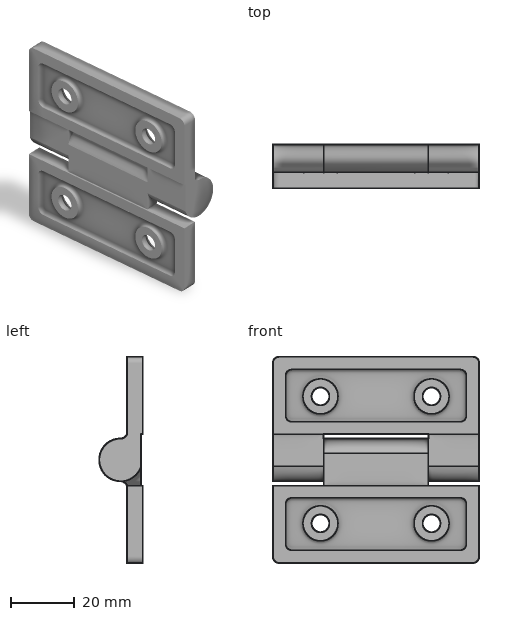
import cadquery as cq
import math

hinge_width = 65.0
hinge_height = 65.0

knuckle_radius = 6.75
middle_knuckle_length = 33.0
side_knuckle_length = (hinge_width - middle_knuckle_length) / 2

leaf_thickness = 5.0
leaf_inner_edge = 8.1
leaf_outer_edge = hinge_height / 2
leaf_corner_radius = 2.0
overall_depth = 13.8
leaf_front = knuckle_radius - overall_depth
leaf_back = leaf_front + leaf_thickness
knuckle_setback = 0.6
knuckle_front = leaf_front + knuckle_setback

recess_margin = 4.0
recess_width = hinge_width - 2 * recess_margin
recess_height = 16.5
recess_top = leaf_outer_edge - recess_margin
recess_center_z = recess_top - recess_height / 2
recess_depth = 1.5
recess_corner_radius = 2.0
floor_fillet = 1.0

boss_radius = 5.5
screw_hole_diameter = 5.5
screw_hole_radius = screw_hole_diameter / 2
head_radius = 5.3
counterbore_depth = 0.5
countersink_half_angle = math.radians(45)
screw_spacing_x = 35.0
screw_spacing_z = 40.0


def make_plate():
    """Flat plate with its two outer corners rounded."""
    plate = cq.Workplane("XY").box(
        hinge_width,
        leaf_thickness,
        leaf_outer_edge - leaf_inner_edge,
        centered=(True, False, False),
    )
    plate = plate.translate((0, leaf_front, leaf_inner_edge))
    return plate.edges("|Y and >Z").fillet(leaf_corner_radius)


def make_recess():
    """Rounded pocket to remove: two bosses are left standing, with a fillet all round its floor."""
    floor_y = leaf_front + recess_depth
    recess = (
        cq.Workplane("XZ", origin=(0, floor_y, recess_center_z))
        .rect(recess_width, recess_height)
        .extrude(recess_depth)
        .edges("|Y")
        .fillet(recess_corner_radius)
    )
    bosses = (
        cq.Workplane("XZ", origin=(0, floor_y, screw_spacing_z / 2))
        .rarray(screw_spacing_x, 0.65, 2, 1)
        .circle(boss_radius)
        .extrude(recess_depth)
    )
    return recess.cut(bosses).faces(">Y").edges().fillet(floor_fillet)


def make_screw_hole(center_x):
    """Through hole widening behind to a cone, then to a short straight counterbore at the leaf back."""
    head_seat_y = leaf_back - counterbore_depth
    cone_start_y = head_seat_y - (head_radius - screw_hole_radius) / math.tan(countersink_half_angle)
    return (
        cq.Workplane("XY")
        .moveTo(0, leaf_front)
        .lineTo(screw_hole_radius, leaf_front)
        .lineTo(screw_hole_radius, cone_start_y)
        .lineTo(head_radius, head_seat_y)
        .lineTo(head_radius, leaf_back)
        .lineTo(0, leaf_back)
        .close()
        .revolve(360, (0, 0, 0), (0, 1, 0))
        .translate((center_x, 0, screw_spacing_z / 2))
    )


def make_knuckle(length, center_x):
    """Knuckle with a flat front, its back blended into the leaf by a concave arc."""
    flat_end_z = -math.sqrt(knuckle_radius**2 - knuckle_front**2)
    return (
        cq.Workplane("YZ", origin=(center_x - length / 2, 0, 0))
        .moveTo(leaf_back, leaf_inner_edge)
        .lineTo(knuckle_front, leaf_inner_edge)
        .lineTo(knuckle_front, flat_end_z)
        .threePointArc((knuckle_radius, 0), (0, knuckle_radius))
        .tangentArcPoint((leaf_back, leaf_inner_edge), relative=False)
        .close()
        .extrude(length)
    )


def make_leaf(knuckle_length, knuckle_centers):
    """One leaf lying above the hinge axis, as a single solid."""
    leaf = make_plate().cut(make_recess())
    for center_x in (-screw_spacing_x / 2, screw_spacing_x / 2):
        leaf = leaf.cut(make_screw_hole(center_x))
    for center_x in knuckle_centers:
        leaf = leaf.union(make_knuckle(knuckle_length, center_x))
    return leaf


side_knuckle_center = (hinge_width - side_knuckle_length) / 2

upper_leaf = make_leaf(side_knuckle_length, (-side_knuckle_center, side_knuckle_center))
lower_leaf = make_leaf(middle_knuckle_length, (0,)).mirror("XY")

result = cq.Compound.makeCompound([upper_leaf.val(), lower_leaf.val()])